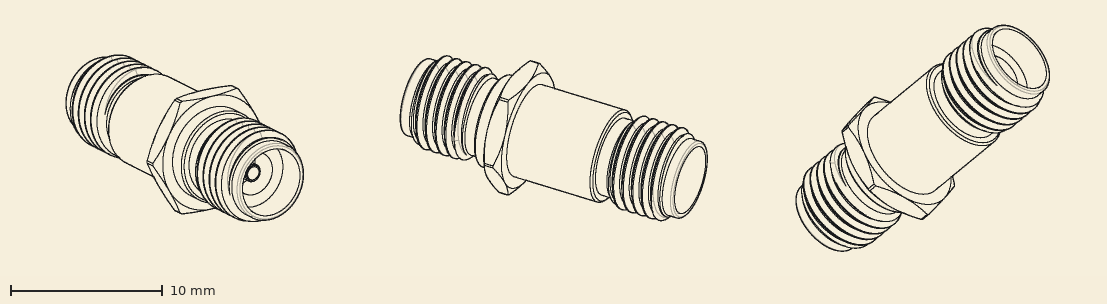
import cadquery as cq
import math


LENGTH = 20.07
BODY_START = 5.65
BODY_END = 14.37
HEX_START = 11.92
HEX_END = 13.22

BARREL_DIA = 5.3
BODY_DIA = 6.35
BODY_CHAMFER = 0.14
END_FILLET = 0.13

HEX_FLATS = 7.92
HEX_CORNERS = 9.05
HEX_CONE_ANGLE = 30.0

THREAD_PITCH = 25.4 / 36
THREAD_LENGTH = 4.07
THREAD_STARTS = (0.74, 15.26)
THREAD_CREST_OFFSETS = (0.70, 0.65)
THREAD_ROOT_RADIUS = 2.77
THREAD_CREST_WIDTH = THREAD_PITCH / 8
THREAD_HALF_ANGLE = 30.0
RUN_IN_TURNS = 2
CUTTER_CLEARANCE = 0.05

SOCKET_DIA = 4.6
SOCKET_DEPTH = 1.98
AIR_BORE_DIA = 2.92
AIR_BORE_DEPTH = 2.0

CONTACT_DIA = 1.2
CONTACT_HOLE_DIA = 0.91
CONTACT_RECESS = 0.1
CONTACT_HOLE_DEPTH = 1.5
CONTACT_CHAMFER = 0.06


def cylinder(start, length, diameter):
    """Solid cylinder on the X axis."""
    return cq.Workplane("YZ", origin=(start, 0, 0)).circle(diameter / 2).extrude(length)


def make_barrel():
    """Full-length barrel with both end edges rounded."""
    return cylinder(0, LENGTH, BARREL_DIA).faces("<X or >X").edges().fillet(END_FILLET)


def make_body():
    """Larger middle body with chamfered ends."""
    body = cylinder(BODY_START, BODY_END - BODY_START, BODY_DIA)
    return body.faces("<X or >X").chamfer(BODY_CHAMFER)


def make_hex():
    """Hexagon with flats on +/-Z, its corners turned down and coned at both faces."""
    width = HEX_END - HEX_START
    across_points = HEX_FLATS / math.cos(math.pi / 6)
    hexagon = cq.Workplane("YZ", origin=(HEX_START, 0, 0)).polygon(6, across_points).extrude(width)

    face_radius = HEX_FLATS / 2
    corner_radius = HEX_CORNERS / 2
    cone_length = (corner_radius - face_radius) * math.tan(math.radians(HEX_CONE_ANGLE))
    profile = [
        (HEX_START, 0),
        (HEX_START, face_radius),
        (HEX_START + cone_length, corner_radius),
        (HEX_END - cone_length, corner_radius),
        (HEX_END, face_radius),
        (HEX_END, 0),
    ]
    turned = cq.Workplane("XY").polyline(profile).close().revolve(360, (0, 0, 0), (1, 0, 0))
    return hexagon.intersect(turned)


def make_thread(start, crest_offset):
    """Thread blank with 45 degree ends, cut by one helical V groove.

    crest_offset is the distance from the start of the blank to the first full crest on the +Z side.
    """
    major_radius = BODY_DIA / 2
    blank = cylinder(start, THREAD_LENGTH, BODY_DIA)
    blank = blank.faces("<X or >X").chamfer((BODY_DIA - BARREL_DIA) / 2)

    outer_radius = major_radius + CUTTER_CLEARANCE
    slope = math.tan(math.radians(THREAD_HALF_ANGLE))
    groove_half = (THREAD_PITCH - THREAD_CREST_WIDTH) / 2
    root_half = groove_half - (major_radius - THREAD_ROOT_RADIUS) * slope
    outer_half = groove_half + CUTTER_CLEARANCE * slope
    section = [
        (THREAD_ROOT_RADIUS, -root_half),
        (outer_radius, -outer_half),
        (outer_radius, outer_half),
        (THREAD_ROOT_RADIUS, root_half),
    ]

    path = cq.Wire.makeHelix(THREAD_PITCH, THREAD_PITCH, THREAD_ROOT_RADIUS)
    turn = cq.Workplane("XZ").polyline(section).close().sweep(cq.Workplane(path), isFrenet=True)
    turn = turn.rotate((0, 0, 0), (0, 1, 0), 90).rotate((0, 0, 0), (1, 0, 0), 180)

    first_valley = start + crest_offset - THREAD_PITCH / 2
    thread = blank
    last_turn = math.ceil(THREAD_LENGTH / THREAD_PITCH)
    for index in range(-RUN_IN_TURNS, last_turn + 1):
        thread = thread.cut(turn.translate((first_valley + index * THREAD_PITCH, 0, 0)))
    return thread


def make_socket():
    """Void at the left end: stepped bore around a hollow centre contact."""
    bore_end = SOCKET_DEPTH + AIR_BORE_DEPTH
    contact_start = SOCKET_DEPTH + CONTACT_RECESS
    contact = cylinder(contact_start, bore_end - contact_start, CONTACT_DIA)
    contact = contact.faces("<X").edges().chamfer(CONTACT_CHAMFER)
    contact = contact.cut(cylinder(contact_start, CONTACT_HOLE_DEPTH, CONTACT_HOLE_DIA))
    void = cylinder(0, SOCKET_DEPTH, SOCKET_DIA).union(cylinder(0, bore_end, AIR_BORE_DIA))
    return void.cut(contact)


result = make_barrel().union(make_body()).union(make_hex())
for thread_start, thread_crest in zip(THREAD_STARTS, THREAD_CREST_OFFSETS):
    result = result.union(make_thread(thread_start, thread_crest))

left_socket = make_socket()
right_socket = left_socket.mirror("YZ", (LENGTH / 2, 0, 0))
result = result.cut(left_socket).cut(right_socket).solids()